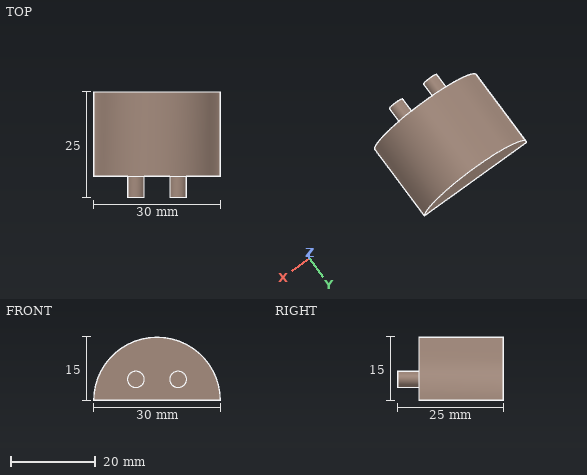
import cadquery as cq

body_width = 30.0
body_radius = body_width / 2
body_depth = body_width * 2 / 3

pin_diameter = 3.9
pin_length = body_width / 6
pin_spacing = body_width / 3
pin_height = body_width / 6


def make_body():
    """Half disc in the XZ plane, extruded from the front face toward +Y."""
    return (
        cq.Workplane("XZ")
        .moveTo(-body_radius, 0)
        .threePointArc((0, body_radius), (body_radius, 0))
        .close()
        .extrude(-body_depth)
    )


def add_pins(body):
    """Join the pins to the front face, pointing toward -Y."""
    pins = (
        cq.Workplane("XZ")
        .pushPoints([(side * pin_spacing / 2, pin_height) for side in (-1, 1)])
        .circle(pin_diameter / 2)
        .extrude(pin_length)
    )
    return body.union(pins)


result = add_pins(make_body())